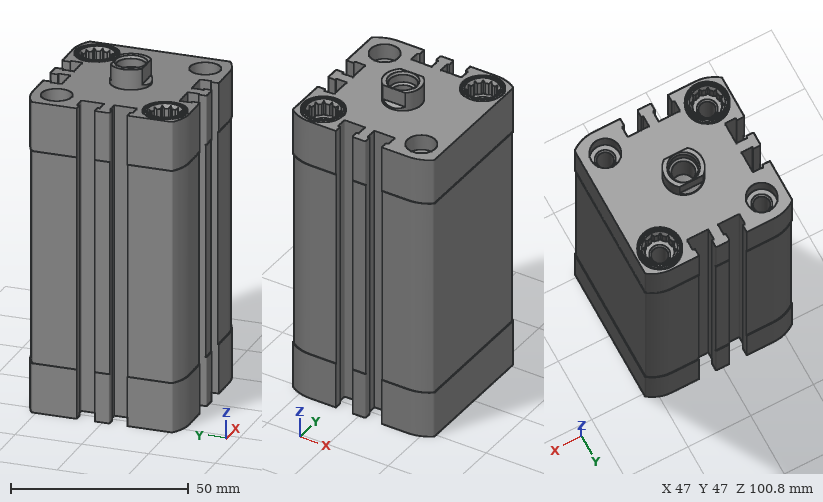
import cadquery as cq
import math

width = 47.0
total_height = 100.8
rod_projection = 6.1
cap_height = 15.0
barrel_inset = 0.25
corner_radius = 11.8
corner_edge_fillet = 0.6
hole_pitch = 32.5

half_width = width / 2
half_pitch = hole_pitch / 2
housing_height = total_height - rod_projection
barrel_height = housing_height - 2 * cap_height

slot_depth = 5.85
lip_depth = 2.4
rib_half_width = 2.2
rib_stem_half_width = 1.55
mouth_half_width = 7.6
chamber_half_width = 8.35
chamber_fillet = 0.3
rib_fillet = 0.35

thread_diameter = 4.92
thread_chamfer_diameter = 6.0
counterbore_diameter = 9.0
counterbore_depth = 5.0

groove_outer_diameter = 12.8
groove_root_diameter = 12.0
groove_inner_diameter = 11.2
groove_depth = (groove_root_diameter - groove_inner_diameter) / 2
socket_cone_diameter = 10.2
socket_diameter = 8.5
socket_cone_depth = 1.2
socket_point_diameter = 9.5

rod_diameter = 12.0
rod_depth = cap_height
flats_width = 9.4
flat_height = 4.8
flat_runout_angle = 30.0
rod_mouth_diameter = 9.3
rod_bore_diameter = 8.4
rod_bore_depth = 3.3
rod_tap_diameter = 6.79
rod_tap_depth = 14.0
rod_mouth_angle = 60.0
rod_step_angle = 120.0


def skin_block(inset, height):
    """Prism with flat sides, shallow corner arcs and softened X edges."""
    side = half_width - inset
    arc = corner_radius - inset
    tangent = half_pitch
    arc_centre_y = half_width - corner_radius
    corner_y = arc_centre_y + math.sqrt(arc**2 - (side - tangent) ** 2)
    half_angle = (math.pi / 2 + math.atan2(corner_y - arc_centre_y, side - tangent)) / 2
    middle_x = tangent + arc * math.cos(half_angle)
    middle_y = arc_centre_y + arc * math.sin(half_angle)
    return (
        cq.Workplane("XY")
        .moveTo(-tangent, side)
        .lineTo(tangent, side)
        .threePointArc((middle_x, middle_y), (side, corner_y))
        .lineTo(side, -corner_y)
        .threePointArc((middle_x, -middle_y), (tangent, -side))
        .lineTo(-tangent, -side)
        .threePointArc((-middle_x, -middle_y), (-side, -corner_y))
        .lineTo(-side, corner_y)
        .threePointArc((-middle_x, middle_y), (-tangent, side))
        .close()
        .extrude(height)
        .edges("|Z and (<X or >X)")
        .fillet(corner_edge_fillet)
    )


def slot_pair():
    """Cutter for the two mirrored T-slots of the -Y side."""
    face = -half_width
    lip = face + lip_depth
    floor = face + slot_depth
    slot = (
        cq.Workplane("XY")
        .moveTo(rib_half_width, face)
        .lineTo(mouth_half_width, face)
        .lineTo(mouth_half_width, lip)
        .lineTo(chamber_half_width, lip)
        .lineTo(chamber_half_width, floor)
        .lineTo(rib_stem_half_width, floor)
        .lineTo(rib_stem_half_width, lip)
        .lineTo(rib_half_width, lip)
        .close()
        .extrude(housing_height)
        .edges("|Z and >X")
        .fillet(chamber_fillet)
    )
    return slot.union(slot.mirror("YZ"))


def rib_rounding():
    """Cutter that rounds both outer edges of the -Y rib over the cap heights."""
    corner = rib_half_width - rib_fillet
    face = -half_width
    reach = rib_fillet * (1 - math.sqrt(0.5))
    sliver = (
        cq.Workplane("XY")
        .moveTo(corner, face)
        .lineTo(rib_half_width, face)
        .lineTo(rib_half_width, face + rib_fillet)
        .threePointArc((rib_half_width - reach, face + reach), (corner, face))
        .close()
        .extrude(cap_height)
    )
    sliver = sliver.union(sliver.mirror("YZ"))
    return sliver.union(sliver.translate((0, 0, housing_height - cap_height)))


def revolved(points):
    """Solid turned about Z from (radius, height) points."""
    return cq.Workplane("XZ").polyline(points).close().revolve(360, (0, 0), (0, 1))


def thread_hole():
    """Through hole with a chamfered mouth at the counterbore floor."""
    floor = housing_height - counterbore_depth
    thread_radius = thread_diameter / 2
    mouth_radius = thread_chamfer_diameter / 2
    return revolved([
        (0, 0),
        (thread_radius, 0),
        (thread_radius, floor - (mouth_radius - thread_radius)),
        (mouth_radius, floor),
        (0, floor),
    ])


def counterbore():
    return (
        cq.Workplane("XY", origin=(0, 0, housing_height - counterbore_depth))
        .circle(counterbore_diameter / 2)
        .extrude(counterbore_depth)
    )


def screw_socket():
    """Twelve-point socket with a conical mouth and a bevelled groove around it."""
    floor = housing_height - counterbore_depth
    socket = cq.Workplane("XY", origin=(0, 0, floor)).circle(socket_diameter / 2).extrude(counterbore_depth)
    for turn in (0, 30, 60):
        square = (
            cq.Workplane("XY", origin=(0, 0, floor))
            .polygon(4, socket_point_diameter)
            .extrude(counterbore_depth)
            .rotate((0, 0, 0), (0, 0, 1), turn)
        )
        socket = socket.union(square)
    cone = revolved([
        (0, housing_height - socket_cone_depth),
        (socket_diameter / 2, housing_height - socket_cone_depth),
        (socket_cone_diameter / 2, housing_height),
        (0, housing_height),
    ])
    groove = revolved([
        (groove_inner_diameter / 2, housing_height),
        (groove_root_diameter / 2, housing_height - groove_depth),
        (groove_outer_diameter / 2, housing_height - groove_depth),
        (groove_outer_diameter / 2, housing_height),
    ])
    return socket.union(cone).union(groove)


def rod_blank():
    return (
        cq.Workplane("XY", origin=(0, 0, housing_height - rod_depth))
        .circle(rod_diameter / 2)
        .extrude(rod_depth + rod_projection)
    )


def make_housing():
    cap = skin_block(0, cap_height)
    barrel = skin_block(barrel_inset, barrel_height).translate((0, 0, cap_height))
    top_cap = cap.translate((0, 0, housing_height - cap_height))
    housing = cap.union(barrel).union(top_cap)

    slot_cutter = slot_pair().union(rib_rounding())
    for turn in (0, -90, 180):
        housing = housing.cut(slot_cutter.rotate((0, 0, 0), (0, 0, 1), turn))

    plain_hole = thread_hole().union(counterbore())
    screw_hole = thread_hole().union(screw_socket())
    for side in (-1, 1):
        place = side * half_pitch
        housing = housing.cut(plain_hole.translate((place, -place, 0)))
        housing = housing.cut(screw_hole.translate((place, place, 0)))
    return housing.cut(rod_blank()).solids()


def rod_flat():
    """Cutter for the -Y wrench flat and its sloping run-out."""
    flat = -flats_width / 2
    outside = -rod_diameter / 2
    heel = total_height - flat_height
    toe = heel - (flat - outside) * math.tan(math.radians(flat_runout_angle))
    return (
        cq.Workplane("YZ")
        .polyline([(flat, total_height), (flat, heel), (outside, toe), (outside, total_height)])
        .close()
        .extrude(rod_diameter / 2, both=True)
    )


def rod_bore():
    """Stepped blind tapped hole with conical steps and a drill point."""
    mouth = rod_mouth_diameter / 2
    bore = rod_bore_diameter / 2
    tap = rod_tap_diameter / 2
    bore_floor = total_height - rod_bore_depth
    tap_floor = total_height - rod_tap_depth
    mouth_slope = math.tan(math.radians(rod_mouth_angle / 2))
    step_slope = math.tan(math.radians(rod_step_angle / 2))
    return revolved([
        (0, total_height),
        (mouth, total_height),
        (bore, total_height - (mouth - bore) / mouth_slope),
        (bore, bore_floor),
        (tap, bore_floor - (bore - tap) / step_slope),
        (tap, tap_floor),
        (0, tap_floor - tap / step_slope),
    ])


def make_rod():
    flat = rod_flat()
    return rod_blank().cut(flat).cut(flat.mirror("XZ")).cut(rod_bore()).solids()


housing = make_housing()
piston_rod = make_rod()
result = cq.Compound.makeCompound([housing.val(), piston_rod.val()])